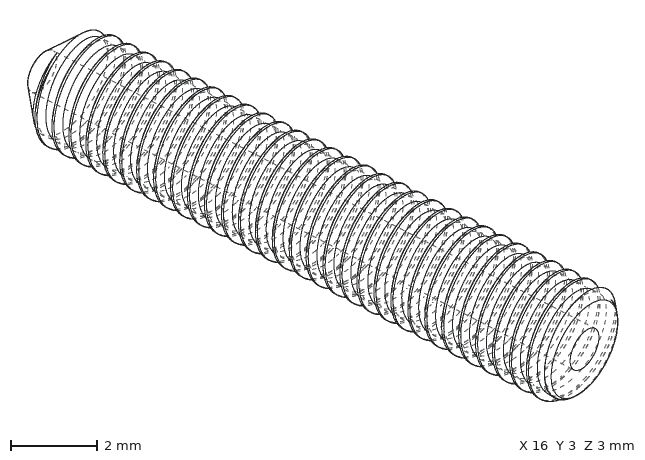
import cadquery as cq
import math

length = 16.0
major_radius = 1.5
pitch = 0.5

tip_radius = 0.55
bore_radius = 0.54
end_chamfer = 0.25

root_radius = 1.31
crest_flat = pitch / 8
flank_slope = math.tan(math.radians(30))
ridge_embed = 0.03
ridge_phase = pitch / 4
runout = 2 * pitch

envelope_radius = major_radius + 0.2


def make_core():
    """Plain cylinder at the thread root, longer than the ridge."""
    core_overrun = 2 * runout
    core = cq.Workplane("XY").workplane(offset=-core_overrun).circle(root_radius)
    return core.extrude(length + 2 * core_overrun)


def make_ridge():
    """Right-handed helical ridge with a trapezoidal section."""
    inner_radius = root_radius - ridge_embed
    half_crest = crest_flat / 2
    half_base = half_crest + (major_radius - inner_radius) * flank_slope
    section = [
        (inner_radius, -half_base),
        (major_radius, -half_crest),
        (major_radius, half_crest),
        (inner_radius, half_base),
    ]
    helix = cq.Wire.makeHelix(pitch, length + 2 * runout, root_radius)
    path = cq.Workplane(obj=helix)
    ridge = cq.Workplane("XZ").polyline(section).close().sweep(path, isFrenet=True)
    return ridge.translate((0, 0, ridge_phase - runout))


def make_envelope():
    """Bored revolved envelope with the 45 degree tip cone and end chamfer."""
    end_radius = major_radius - end_chamfer
    profile = [
        (bore_radius, 0),
        (tip_radius, 0),
        (envelope_radius, envelope_radius - tip_radius),
        (envelope_radius, length - (envelope_radius - end_radius)),
        (end_radius, length),
        (bore_radius, length),
    ]
    return cq.Workplane("YZ").polyline(profile).close().revolve(360, (0, 0), (0, 1))


threaded_rod = make_core().union(make_ridge(), clean=False)
stud = threaded_rod.intersect(make_envelope(), clean=False)
result = stud.rotate((0, 0, 0), (0, 1, 0), 90)